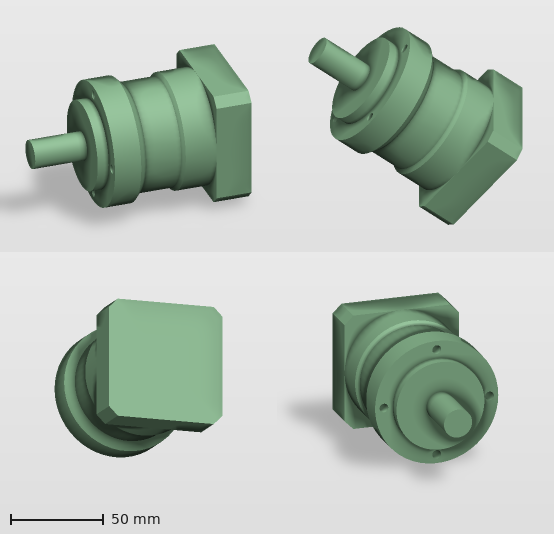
import cadquery as cq


total_length = 115.0

plate_length = 20.0
body_length = 17.6
body_taper_length = 2.0
neck_length = 19.9
flange_taper_length = 4.5
flange_length = 15.1
pilot_length = 6.3

body_diameter = 65.0
neck_diameter = 61.0
flange_diameter = 70.0
pilot_diameter = 50.0
shaft_diameter = 16.0

plate_width = body_diameter
plate_corner_chamfer = 5.0

hole_count = 4
hole_diameter = 5.0
hole_circle_diameter = 60.0
hole_depth = 10.0

plate_back = total_length / 2
plate_front = plate_back - plate_length
body_front = plate_front - body_length
neck_back = body_front - body_taper_length
neck_front = neck_back - neck_length
flange_back = neck_front - flange_taper_length
flange_front = flange_back - flange_length
pilot_front = flange_front - pilot_length
shaft_tip = plate_back - total_length


def motor_plate():
    """Square plate with its four corner edges, along Y, chamfered."""
    return (
        cq.Workplane("XZ", origin=(0, plate_back, 0))
        .rect(plate_width, plate_width)
        .extrude(plate_length)
        .edges("|Y")
        .chamfer(plate_corner_chamfer)
    )


def turned_body():
    """Body, neck, flange, pilot and shaft as one revolved profile."""
    profile = [
        (0, plate_front),
        (body_diameter / 2, plate_front),
        (body_diameter / 2, body_front),
        (neck_diameter / 2, neck_back),
        (neck_diameter / 2, neck_front),
        (flange_diameter / 2, flange_back),
        (flange_diameter / 2, flange_front),
        (pilot_diameter / 2, flange_front),
        (pilot_diameter / 2, pilot_front),
        (shaft_diameter / 2, pilot_front),
        (shaft_diameter / 2, shaft_tip),
        (0, shaft_tip),
    ]
    return cq.Workplane("XY").polyline(profile).close().revolve(360, (0, 0, 0), (0, 1, 0))


def mounting_holes():
    """Blind holes on a circle, sunk into the front of the flange."""
    return (
        cq.Workplane("XZ", origin=(0, flange_front, 0))
        .polarArray(hole_circle_diameter / 2, 0, 360, hole_count)
        .circle(hole_diameter / 2)
        .extrude(-hole_depth)
    )


result = motor_plate().union(turned_body()).cut(mounting_holes())